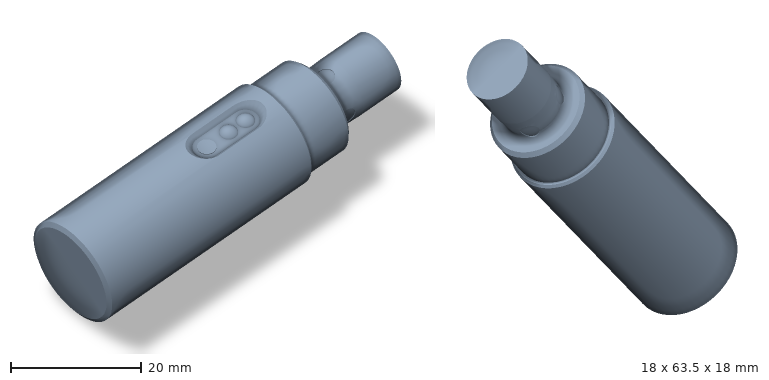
import cadquery as cq
import math

length = 63.5
front_y = -length / 2
rear_y = length / 2

sleeve_radius = 18.0 / 2
sleeve_rear_y = 10.2
sleeve_rear_chamfer = 0.4
front_chamfer_length = 0.45
front_rim_radius = 16.4 / 2

cap_radius = 15.75 / 2
cap_thickness = 2.55

window_floor_z = 7.7
window_floor_width = 4.4
window_rear_center_y = 4.3
window_front_center_y = -3.7
window_draft = 45.0
window_cut_margin = 0.65
lamp_radius = 3.0 / 2
lamp_height = 0.75
lamp_embed = 0.3
lamp_spacing = 3.5
lamp_count = 2
button_height = 0.1

collar_radius = 16.4 / 2
collar_rear_y = 18.85
collar_chamfer = 0.65
neck_fillet = 1.1
neck_radius = 5.15
thread_root_radius = 10.55 / 2
thread_crest_radius = 5.9
thread_front_y = 23.9
thread_turns = 8
eight_turn_length = 8.0
thread_pitch = eight_turn_length / thread_turns
thread_base_width = 0.8
thread_crest_width = 0.05
thread_embed = 0.1
thread_trim_margin = 0.65

recess_radius = 3.0 / 2
recess_center_y = 20.8
recess_floor_radius = 5.1
recess_count = 4


def cylinder_along_y(radius, start_y, end_y):
    """Cylinder on the sensor axis between two Y positions."""
    start = cq.Workplane("XZ", origin=(0, start_y, 0))
    return start.circle(radius).extrude(start_y - end_y)


def upright_cylinder(radius, center_y, bottom_z, height):
    """Cylinder along Z, centred over the sensor axis."""
    return cq.Workplane("XY", origin=(0, center_y, bottom_z)).circle(radius).extrude(height)


def revolve_about_y(profile):
    """Full turn of a closed XY profile about the sensor axis."""
    return profile.close().revolve(360, (0, 0, 0), (0, 1, 0))


def make_window():
    """Slot-shaped cutter that widens upward from the window floor."""
    slot_length = window_rear_center_y - window_front_center_y + window_floor_width
    center_y = (window_rear_center_y + window_front_center_y) / 2
    cut_height = sleeve_radius - window_floor_z + window_cut_margin
    floor = cq.Workplane("XY", origin=(0, center_y, window_floor_z))
    return floor.slot2D(slot_length, window_floor_width, 90).extrude(cut_height, taper=-window_draft)


def make_lamp(center_y):
    """Spherical dome standing on the window floor."""
    sphere_radius = (lamp_radius**2 + lamp_height**2) / (2 * lamp_height)
    sphere_z = window_floor_z + lamp_height - sphere_radius
    sphere = cq.Workplane("XY", origin=(0, center_y, sphere_z)).sphere(sphere_radius)
    column = upright_cylinder(
        lamp_radius, center_y, window_floor_z - lamp_embed, lamp_embed + lamp_height
    )
    return sphere.intersect(column)


def make_sleeve():
    """Round barrel with a front seat for the cap and the indicator window."""
    profile = (
        cq.Workplane("XY")
        .moveTo(0, front_y)
        .lineTo(front_rim_radius, front_y)
        .lineTo(sleeve_radius, front_y + front_chamfer_length)
        .lineTo(sleeve_radius, sleeve_rear_y - sleeve_rear_chamfer)
        .lineTo(sleeve_radius - sleeve_rear_chamfer, sleeve_rear_y)
        .lineTo(0, sleeve_rear_y)
    )
    sleeve = revolve_about_y(profile)
    sleeve = sleeve.cut(cylinder_along_y(cap_radius, front_y, front_y + cap_thickness))
    sleeve = sleeve.cut(make_window())
    for index in range(lamp_count):
        sleeve = sleeve.union(make_lamp(window_rear_center_y - index * lamp_spacing))
    button = upright_cylinder(
        lamp_radius, window_front_center_y, window_floor_z - lamp_embed, lamp_embed + button_height
    )
    return sleeve.union(button)


def make_cap():
    """Flat sensing face, flush with the front of the sleeve."""
    return cylinder_along_y(cap_radius, front_y, front_y + cap_thickness)


def make_thread():
    """Right-handed helical ridge, trimmed to the threaded length."""
    ridge_root = thread_root_radius - thread_embed
    helix_length = rear_y - thread_front_y + thread_pitch
    helix = cq.Wire.makeHelix(thread_pitch, helix_length, ridge_root)
    ridge = (
        cq.Workplane("XZ")
        .moveTo(ridge_root, -thread_base_width / 2)
        .lineTo(thread_crest_radius, -thread_crest_width / 2)
        .lineTo(thread_crest_radius, thread_crest_width / 2)
        .lineTo(ridge_root, thread_base_width / 2)
        .close()
        .sweep(cq.Workplane(helix), isFrenet=True)
    )
    ridge = ridge.rotate((0, 0, 0), (1, 0, 0), -90).translate((0, thread_front_y - thread_pitch / 2, 0))
    return ridge.intersect(cylinder_along_y(thread_crest_radius + thread_trim_margin, thread_front_y, rear_y))


def make_neck_recess(angle):
    """Round radial cutter whose inner end follows a cylinder about the sensor axis."""
    cutter = upright_cylinder(recess_radius, recess_center_y, 0, collar_radius)
    core = cylinder_along_y(
        recess_floor_radius, recess_center_y - 2 * recess_radius, recess_center_y + 2 * recess_radius
    )
    return cutter.cut(core).rotate((0, 0, 0), (0, 1, 0), angle)


def make_connector():
    """Collar, filleted neck and threaded plug."""
    arc_offset = neck_fillet * (1 - math.sqrt(0.5))
    profile = (
        cq.Workplane("XY")
        .moveTo(0, sleeve_rear_y)
        .lineTo(collar_radius, sleeve_rear_y)
        .lineTo(collar_radius, collar_rear_y - collar_chamfer)
        .lineTo(collar_radius - collar_chamfer, collar_rear_y)
        .lineTo(neck_radius + neck_fillet, collar_rear_y)
        .threePointArc(
            (neck_radius + arc_offset, collar_rear_y + arc_offset),
            (neck_radius, collar_rear_y + neck_fillet),
        )
        .lineTo(thread_root_radius, thread_front_y)
        .lineTo(thread_root_radius, rear_y)
        .lineTo(0, rear_y)
    )
    connector = revolve_about_y(profile)
    for index in range(recess_count):
        connector = connector.cut(make_neck_recess(index * 360 / recess_count))
    return connector.union(make_thread())


sleeve = make_sleeve()
cap = make_cap()
connector = make_connector()

result = cq.Compound.makeCompound(
    [sleeve.solids().val(), cap.solids().val(), connector.solids().val()]
)